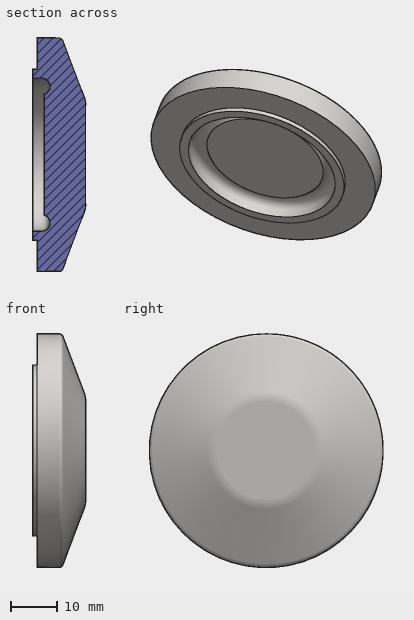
import cadquery as cq
import math

overall_length = 11.5
flange_radius = 25.25

boss_height = 1.0
boss_radius = 18.5

recess_radius = 16.5
recess_depth = 2.5
recess_wall_depth = 2.0
groove_radius = 1.75

rim_corner_x = 6.35
nose_corner_radius = 11.6
rim_blend = 1.0
nose_blend = 5.0

groove_center_radius = recess_radius - groove_radius
floor_offset = recess_depth - recess_wall_depth
floor_radius = groove_center_radius - math.sqrt(groove_radius**2 - floor_offset**2)
groove_bottom = recess_wall_depth + groove_radius


def revolve_about_x(profile):
    """Turn a closed profile, drawn as (x, radius), fully around the X axis."""
    return profile.close().revolve(360, (0, 0, 0), (1, 0, 0))


def make_body():
    """Boss, flange and cone, with the rim and nose corners rounded."""
    profile = (
        cq.Workplane("XZ")
        .moveTo(0, 0)
        .lineTo(0, boss_radius)
        .lineTo(boss_height, boss_radius)
        .lineTo(boss_height, flange_radius)
        .lineTo(rim_corner_x, flange_radius)
        .lineTo(overall_length, nose_corner_radius)
        .lineTo(overall_length, 0)
    )
    body = revolve_about_x(profile)
    body = body.faces(">X").edges().fillet(nose_blend)
    rim_edge = body.edges("%CIRCLE").edges(cq.selectors.NearestToPointSelector((rim_corner_x, 0, 0)))
    return rim_edge.fillet(rim_blend)


def make_recess():
    """Round recess whose floor is ringed by the groove."""
    profile = (
        cq.Workplane("XZ")
        .moveTo(0, 0)
        .lineTo(0, recess_radius)
        .lineTo(recess_wall_depth, recess_radius)
        .threePointArc((groove_bottom, groove_center_radius), (recess_depth, floor_radius))
        .lineTo(recess_depth, 0)
    )
    return revolve_about_x(profile)


result = make_body().cut(make_recess())